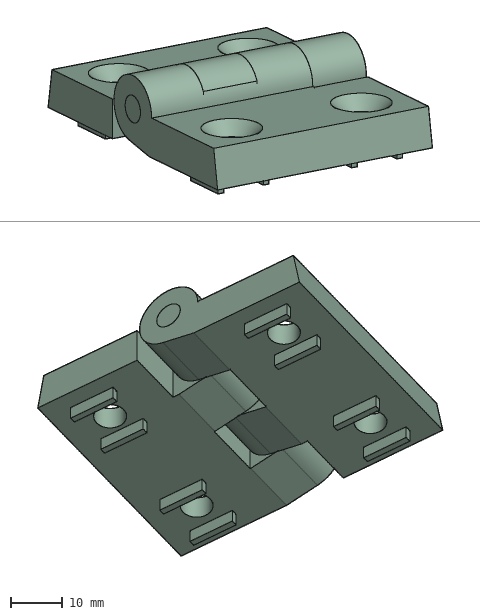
import cadquery as cq
import math

OPEN_WIDTH = 62.0
LENGTH = 49.8
LEAF_THICKNESS = 8.2
EDGE_TAPER = 1.4

KNUCKLE_RADIUS = 6.9
KNUCKLE_COUNT = 4
KNUCKLE_LENGTH = LENGTH / KNUCKLE_COUNT
RAMP_END_X = 6.0
END_NOTCH_X = 7.45
STOP_WALL_X = 6.15
PIN_RADIUS = 2.8

HOLE_X = 20.6
HOLE_Y = 15.0
BORE_DIAMETER = 6.45
SINK_DIAMETER = 12.1
SINK_ANGLE = 90.0

RIB_LENGTH = 10.05
RIB_WIDTH = 1.3
RIB_HEIGHT = 2.9
RIB_INNER_Y = 10.2
RIB_OUTER_Y = 20.7

HALF_WIDTH = OPEN_WIDTH / 2
HALF_LENGTH = LENGTH / 2


def block(x_min, x_max, y_min, y_max, z_min, z_max):
    """Box given by its limits along each axis."""
    size = (x_max - x_min, y_max - y_min, z_max - z_min)
    return cq.Workplane("XY").box(*size, centered=False).translate((x_min, y_min, z_min))


def knuckle_start(index):
    """Y of the front end of a knuckle, counted from the front."""
    return -HALF_LENGTH + index * KNUCKLE_LENGTH


def leaf_profile():
    """Right leaf with a knuckle along its whole length, its underside ramp tangent to the knuckle."""
    ramp_distance = math.hypot(RAMP_END_X, LEAF_THICKNESS)
    tangent_angle = math.atan2(-LEAF_THICKNESS, RAMP_END_X) - math.acos(KNUCKLE_RADIUS / ramp_distance)
    tangent_point = (KNUCKLE_RADIUS * math.cos(tangent_angle), KNUCKLE_RADIUS * math.sin(tangent_angle))
    return (
        cq.Workplane("XZ", origin=(0, HALF_LENGTH, 0))
        .moveTo(KNUCKLE_RADIUS, 0)
        .lineTo(HALF_WIDTH - EDGE_TAPER, 0)
        .lineTo(HALF_WIDTH, -LEAF_THICKNESS)
        .lineTo(RAMP_END_X, -LEAF_THICKNESS)
        .lineTo(*tangent_point)
        .threePointArc((0, KNUCKLE_RADIUS), (KNUCKLE_RADIUS, 0))
        .close()
        .extrude(LENGTH)
    )


def knuckle_cutter(index, wall_x):
    """Cutting block over one knuckle length, from the far side up to a flat wall."""
    start = knuckle_start(index)
    return block(-HALF_WIDTH, wall_x, start, start + KNUCKLE_LENGTH, -LEAF_THICKNESS, KNUCKLE_RADIUS)


def make_pin():
    return cq.Workplane("XZ", origin=(0, HALF_LENGTH, 0)).circle(PIN_RADIUS).extrude(LENGTH)


def add_ribs(leaf):
    for side in (-1, 1):
        for rib_y in (RIB_INNER_Y, RIB_OUTER_Y):
            rib = block(
                HOLE_X - RIB_LENGTH / 2, HOLE_X + RIB_LENGTH / 2,
                side * rib_y - RIB_WIDTH / 2, side * rib_y + RIB_WIDTH / 2,
                -LEAF_THICKNESS - RIB_HEIGHT, -LEAF_THICKNESS,
            )
            leaf = leaf.union(rib)
    return leaf


def cut_screw_holes(leaf):
    return (
        leaf.copyWorkplane(cq.Workplane("XY"))
        .pushPoints([(HOLE_X, -HOLE_Y), (HOLE_X, HOLE_Y)])
        .cskHole(BORE_DIAMETER, SINK_DIAMETER, SINK_ANGLE, depth=LEAF_THICKNESS + RIB_HEIGHT)
    )


def make_leaf():
    """Right leaf: it carries knuckles 0 and 2 and leaves gaps at 1 and 3.

    Knuckle 2 is trimmed flat to meet the stop wall of the other leaf.
    """
    leaf = leaf_profile()
    leaf = leaf.cut(knuckle_cutter(1, STOP_WALL_X))
    leaf = leaf.cut(knuckle_cutter(3, END_NOTCH_X))
    leaf = leaf.cut(knuckle_cutter(2, -STOP_WALL_X))
    leaf = leaf.cut(make_pin())
    leaf = add_ribs(leaf)
    return cut_screw_holes(leaf)


leaves = [make_leaf().rotate((0, 0, 0), (0, 0, 1), turn) for turn in (0, 180)]
pin = make_pin()

result = cq.Compound.makeCompound([*[leaf.solids().val() for leaf in leaves], pin.val()])